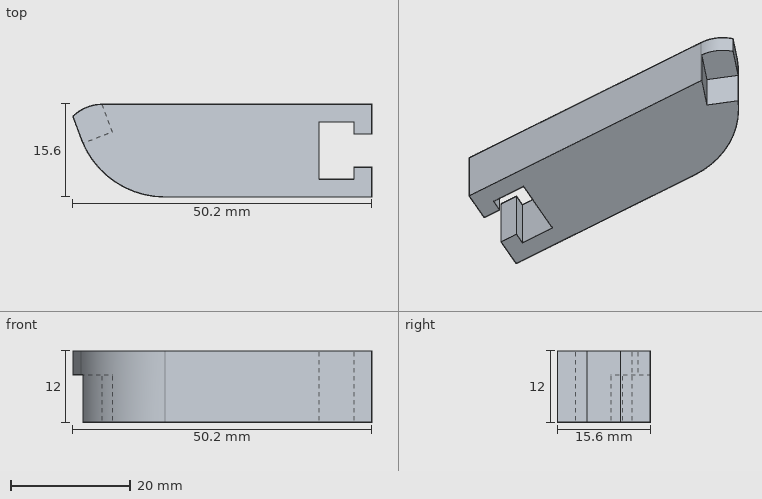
import cadquery as cq
import math

length = 50.25
width = 15.6
height = 12.0

tip_setback = 2.05
back_arc_end = 5.0
front_arc_end = 15.5
front_radius = 15.05

lip_height = 4.0
notch_edge_setback = 6.6
notch_corner_setback = 4.65
notch_corner_x = 6.65

cavity_width = 9.55
mouth_width = 5.6
mouth_length = 3.0
slot_depth = 8.85


def point_on_arc(center, radius, angle):
    return (center[0] + radius * math.cos(angle), center[1] + radius * math.sin(angle))


tip = (0, -tip_setback)
front_center = (front_arc_end, front_radius - width)
center_dx = tip[0] - front_center[0]
center_dy = tip[1] - front_center[1]
tip_distance = math.hypot(center_dx, center_dy)
tangent_angle = math.atan2(center_dy, center_dx) % math.tau + math.acos(front_radius / tip_distance)
flat_end = point_on_arc(front_center, front_radius, tangent_angle)
front_arc_middle = point_on_arc(front_center, front_radius, (tangent_angle + 1.5 * math.pi) / 2)

back_radius = (back_arc_end**2 + tip_setback**2) / (2 * tip_setback)
back_center = (back_arc_end, -back_radius)
back_sweep = math.asin(back_arc_end / back_radius)
back_arc_middle = point_on_arc(back_center, back_radius, math.pi / 2 + back_sweep / 2)


def make_body():
    return (
        cq.Workplane("XY")
        .moveTo(*tip)
        .lineTo(*flat_end)
        .threePointArc(front_arc_middle, (front_arc_end, -width))
        .lineTo(length, -width)
        .lineTo(length, 0)
        .lineTo(back_arc_end, 0)
        .threePointArc(back_arc_middle, tip)
        .close()
        .extrude(-height)
    )


def make_notch():
    """Space below the lip, with its rear wall parallel to the flat of the nose."""
    flat_slope = flat_end[0] / (tip[1] - flat_end[1])
    edge_x = front_center[0] - math.sqrt(
        front_radius**2 - (notch_edge_setback + front_center[1]) ** 2
    )
    rear_wall_x = notch_corner_x - notch_corner_setback * flat_slope
    outline = [
        (0, 0),
        (0, -notch_edge_setback),
        (edge_x, -notch_edge_setback),
        (notch_corner_x, -notch_corner_setback),
        (rear_wall_x, 0),
    ]
    return (
        cq.Workplane("XY")
        .workplane(offset=-height)
        .polyline(outline)
        .close()
        .extrude(height - lip_height)
    )


def make_slot():
    def pocket(start_x, end_x, pocket_width):
        return cq.Workplane("XY").box(
            end_x - start_x, pocket_width, height, centered=(False, True, False)
        ).translate((start_x, -width / 2, -height))

    mouth_start = length - mouth_length
    cavity = pocket(length - slot_depth, mouth_start, cavity_width)
    return cavity.union(pocket(mouth_start, length, mouth_width))


result = make_body().cut(make_notch()).cut(make_slot())